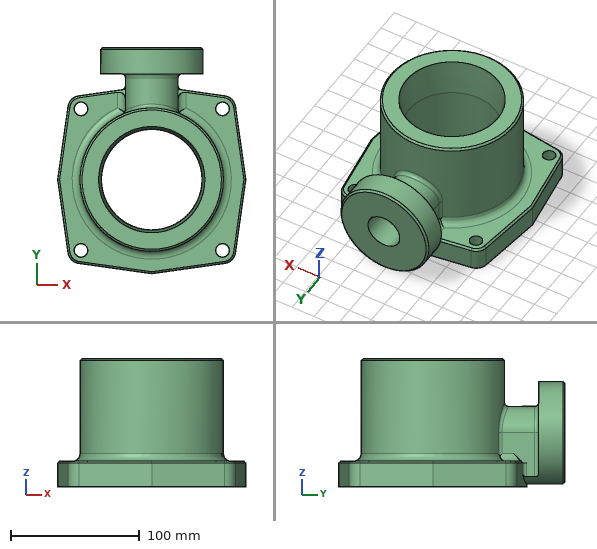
import cadquery as cq

plate_width = 146.5
plate_reach = plate_width / 2
plate_corner = 64.2
plate_height = 20.0
corner_radius = 10.0
plate_edge = 1.5
bolt_offset = 55.0
bolt_diameter = 10.4

barrel_radius = 55.8
barrel_top = 99.9
barrel_chamfer = 1.5
bore_radius = 39.0
taper_mouth_radius = 41.3
taper_depth = 31.3

overall_length = 175.9
outlet_end = overall_length - plate_reach
outlet_height = 42.2
flange_radius = 40.0
flange_thickness = 20.4
flange_chamfer = 1.5
neck_radius = 20.5
port_radius = 14.5

base_fillet = 6.2
plate_neck_fillet = 6.0
neck_fillet = 3.0

flange_back = outlet_end - flange_thickness
margin = 0.2


def cylinder_along_y(radius, y_start, y_end):
    """Cylinder centred on the outlet axis between two Y positions."""
    start_plane = cq.Workplane("XZ", origin=(0, y_start, outlet_height))
    return start_plane.circle(radius).extrude(y_start - y_end)


def make_plate_blank(height):
    outline = []
    for sx, sy in ((1, 1), (-1, 1), (-1, -1), (1, -1)):
        middle = (plate_reach * sx, 0) if sx == sy else (0, plate_reach * sy)
        outline += [middle, (plate_corner * sx, plate_corner * sy)]
    plate = cq.Workplane("XY").polyline(outline).close().extrude(height)
    for sx in (1, -1):
        for sy in (1, -1):
            corner = cq.selectors.NearestToPointSelector(
                (plate_corner * sx, plate_corner * sy, height / 2)
            )
            plate = plate.edges(corner).fillet(corner_radius)
    return plate


def make_plate():
    return make_plate_blank(plate_height).faces(">Z").edges().chamfer(plate_edge)


def make_barrel():
    barrel = cq.Workplane("XY").circle(barrel_radius).extrude(barrel_top)
    return barrel.faces(">Z").edges().chamfer(barrel_chamfer)


def make_neck():
    """Arched neck whose underside follows the round of the outlet flange."""
    arch = (
        cq.Workplane("XZ", origin=(0, 0, outlet_height))
        .moveTo(-neck_radius, -outlet_height)
        .lineTo(-neck_radius, 0)
        .threePointArc((0, neck_radius), (neck_radius, 0))
        .lineTo(neck_radius, -outlet_height)
        .close()
        .extrude(-flange_back)
    )
    return arch.intersect(cylinder_along_y(flange_radius, 0, flange_back))


def make_flange():
    flange = cylinder_along_y(flange_radius, flange_back, outlet_end)
    return flange.faces(">Y").edges().chamfer(flange_chamfer)


def make_bores():
    """Main bore with its tapered mouth, and the side port that opens into it."""
    main_bore = cq.Workplane("XY").circle(bore_radius).extrude(barrel_top)
    taper = (
        cq.Workplane("XY", origin=(0, 0, barrel_top - taper_depth))
        .circle(bore_radius)
        .workplane(offset=taper_depth)
        .circle(taper_mouth_radius)
        .loft()
    )
    return main_bore.union(taper).union(cylinder_along_y(port_radius, 0, outlet_end))


def make_bolt_holes():
    spacing = 2 * bolt_offset
    centers = cq.Workplane("XY").rect(spacing, spacing, forConstruction=True).vertices()
    return centers.circle(bolt_diameter / 2).extrude(plate_height)


def edges_inside(low, high):
    """Select edges that lie wholly within a box."""
    return cq.selectors.BoxSelector(low, high, boundingbox=True)


neck_side = neck_radius + margin
neck_top = outlet_height + neck_radius + margin
plate = make_plate()
barrel = make_barrel()
neck = make_neck()
flange = make_flange()

barrel_foot = edges_inside(
    (-barrel_radius - margin, -barrel_radius - margin, plate_height - margin),
    (barrel_radius + margin, barrel_radius + margin, plate_height + margin),
)
barrel_on_plate = plate.union(barrel).edges(barrel_foot).fillet(base_fillet)

neck_foot = edges_inside(
    (-neck_side, -margin, plate_height - margin),
    (neck_side, plate_reach, plate_height + margin),
) & cq.selectors.ParallelDirSelector(cq.Vector(0, 1, 0))
neck_on_plate = plate.union(neck).edges(neck_foot).fillet(plate_neck_fillet)

rear_corners = edges_inside(
    (-neck_side, plate_corner, 0),
    (neck_side, plate_reach, plate_height),
) & cq.selectors.ParallelDirSelector(cq.Vector(0, 0, 1))
lower_plate = make_plate_blank(plate_height - plate_edge)
neck_behind_plate = lower_plate.union(neck).edges(rear_corners).fillet(neck_fillet)

neck_root = edges_inside(
    (-neck_side, 0, outlet_height - margin),
    (neck_side, barrel_radius + margin, neck_top),
) - cq.selectors.ParallelDirSelector(cq.Vector(0, 1, 0))
neck_on_barrel = barrel.union(neck).edges(neck_root).fillet(neck_fillet)

neck_end = edges_inside(
    (-neck_side, flange_back - margin, margin),
    (neck_side, flange_back + margin, neck_top),
)
neck_on_flange = neck.union(flange).edges(neck_end).fillet(neck_fillet)

body = barrel_on_plate
for blended_pair in (neck_on_plate, neck_behind_plate, neck_on_barrel, neck_on_flange):
    body = body.union(blended_pair)

result = body.cut(make_bores()).cut(make_bolt_holes())